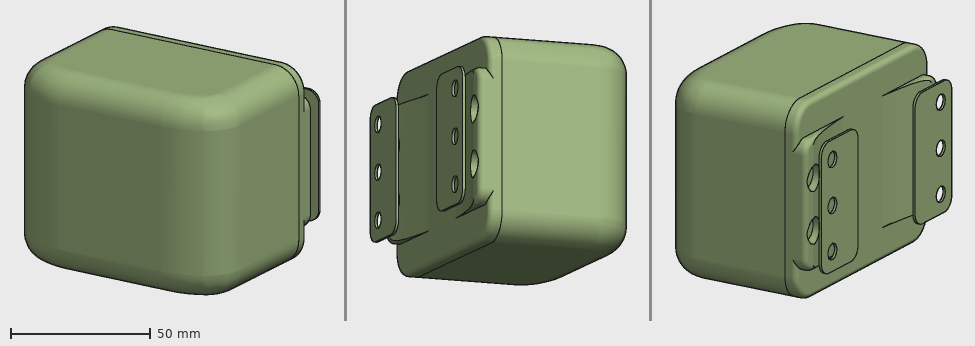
import cadquery as cq
import math

box_width = 90.0
box_height = 75.0
box_depth = 60.0
cover_depth = 5.0
side_edge_radius = 10.0
back_edge_radius = 2.0

front_flat_width = 44.0
front_arc_radius = 31.0
blend_arc_radius = 15.0

pad_height = 50.0
pad_thickness = 4.0
pad_corner_radius = 5.0
saddle_radius = 180.0
saddle_half_width = 40.0

pad_hole_diameter = 10.0
pad_hole_depth = pad_thickness
pad_hole_x = 39.0
pad_hole_z = 10.0

plate_width = 25.0
plate_height = 50.0
plate_thickness = 1.0
plate_corner_radius = 5.0
plate_gap = 5.0
plate_centre_x = 31.9
plate_hole_diameter = 6.0
plate_hole_edge_distance = 7.5

half_width = box_width / 2
seam_y = box_depth - cover_depth
pad_back_y = box_depth + pad_thickness
plate_front_y = pad_back_y + plate_gap


def xz_plane(y):
    """Plane parallel to XZ at the given Y whose extrusions grow toward +Y (local x runs along -X)."""
    return cq.Workplane(cq.Plane(origin=(0, y, 0), xDir=(-1, 0, 0), normal=(0, 1, 0)))


def make_housing():
    front_centre = (front_flat_width / 2, front_arc_radius)
    blend_centre_x = half_width - blend_arc_radius
    centre_distance = front_arc_radius - blend_arc_radius
    offset_x = blend_centre_x - front_centre[0]
    offset_y = math.sqrt(centre_distance**2 - offset_x**2)
    blend_centre = (blend_centre_x, front_arc_radius - offset_y)
    joint_angle = math.atan2(offset_y, offset_x)

    def on_arc(centre, radius, angle):
        return (centre[0] + radius * math.cos(angle), centre[1] - radius * math.sin(angle))

    front_end = (front_centre[0], 0)
    front_middle = on_arc(front_centre, front_arc_radius, (math.pi / 2 + joint_angle) / 2)
    joint = on_arc(front_centre, front_arc_radius, joint_angle)
    blend_middle = on_arc(blend_centre, blend_arc_radius, joint_angle / 2)
    side_end = (half_width, blend_centre[1])

    def mirrored(point):
        return (-point[0], point[1])

    return (
        cq.Workplane("XY", origin=(0, 0, -box_height / 2))
        .moveTo(*mirrored(front_end))
        .lineTo(*front_end)
        .threePointArc(front_middle, joint)
        .threePointArc(blend_middle, side_end)
        .lineTo(half_width, seam_y)
        .lineTo(-half_width, seam_y)
        .lineTo(*mirrored(side_end))
        .threePointArc(mirrored(blend_middle), mirrored(joint))
        .threePointArc(mirrored(front_middle), mirrored(front_end))
        .close()
        .extrude(box_height)
        .faces("|Z")
        .edges("not >Y")
        .fillet(side_edge_radius)
    )


def make_pad():
    """Saddle pad, starting deep enough in the cover to fill its rounded back edge."""
    pad_front_y = box_depth - back_edge_radius
    pad = (
        xz_plane(pad_front_y)
        .rect(box_width, pad_height)
        .extrude(pad_back_y - pad_front_y)
        .edges("|Y")
        .fillet(pad_corner_radius)
        .faces(">Y")
        .edges()
        .fillet(back_edge_radius)
    )
    saddle_centre_y = pad_back_y + math.sqrt(saddle_radius**2 - saddle_half_width**2)
    saddle = (
        cq.Workplane("XY", origin=(0, saddle_centre_y, -pad_height / 2))
        .circle(saddle_radius)
        .extrude(pad_height)
    )
    return pad.cut(saddle)


def make_cover():
    slab = (
        xz_plane(seam_y)
        .rect(box_width, box_height)
        .extrude(cover_depth)
        .edges("|Y")
        .fillet(side_edge_radius)
        .faces(">Y")
        .edges()
        .fillet(back_edge_radius)
    )
    hole_points = [(x, z) for x in (-pad_hole_x, pad_hole_x) for z in (-pad_hole_z, pad_hole_z)]
    holes = (
        xz_plane(pad_back_y - pad_hole_depth)
        .pushPoints(hole_points)
        .circle(pad_hole_diameter / 2)
        .extrude(pad_hole_depth)
    )
    return slab.union(make_pad()).cut(holes)


def make_plate(side):
    """Plate on one side of the box (side is -1 or 1), with a row of holes near its outer edge."""
    centre_x = side * plate_centre_x
    hole_x = centre_x + side * (plate_width / 2 - plate_hole_edge_distance)
    hole_z = plate_height / 2 - plate_hole_edge_distance
    blank = (
        xz_plane(plate_front_y)
        .center(-centre_x, 0)
        .rect(plate_width, plate_height)
        .extrude(plate_thickness)
        .edges("|Y")
        .fillet(plate_corner_radius)
    )
    holes = (
        xz_plane(plate_front_y)
        .pushPoints([(-hole_x, z) for z in (-hole_z, 0, hole_z)])
        .circle(plate_hole_diameter / 2)
        .extrude(plate_thickness)
    )
    return blank.cut(holes)


housing = make_housing()
cover = make_cover()
plates = [make_plate(side) for side in (-1, 1)]

result = cq.Compound.makeCompound([housing.val(), cover.val(), *[plate.val() for plate in plates]])